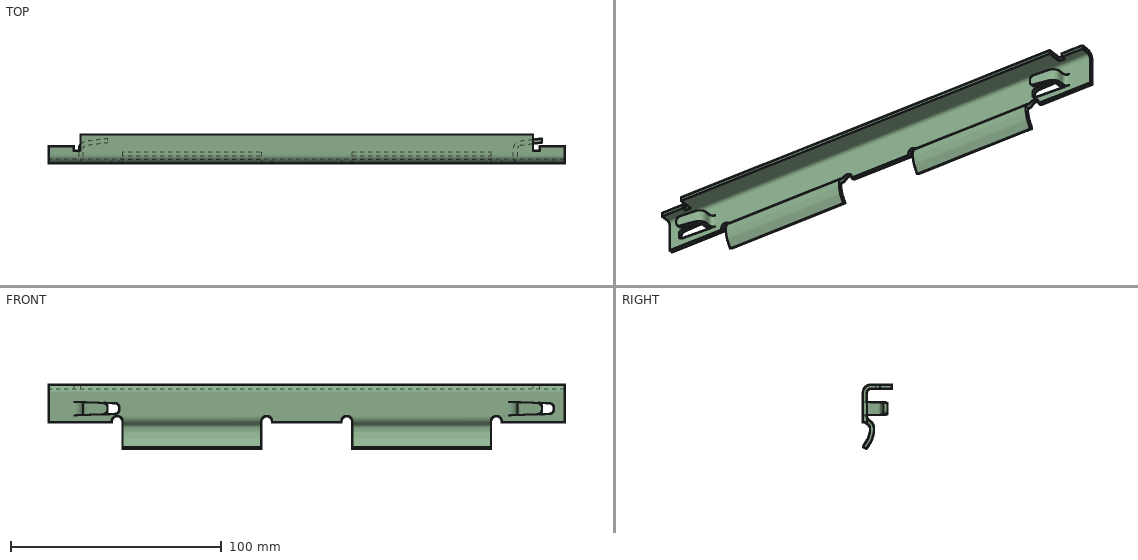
import cadquery as cq
import math

thickness = 2.0
inner_radius = 2.0
outer_radius = inner_radius + thickness
length = 245.0
depth = 13.79
height = 30.58
wall_height = 18.0

flange_inset = 15.0
ear_depth = 8.2
notch_width = 3.0
notch_floor = 6.0

clip_inset = 35.0
clip_width = 66.0
clip_bend_start = 15.0
clip_inner_radius = 2.4
clip_jog_angle = 60.0
clip_flat = 1.2
flare_inner_radius = 2.5
flare_angle = 16.0
flare_flat = 2.7
relief_radius = 2.5

slot_starts = (12.3, 218.5)
slot_length = 21.2
slot_root_width = 6.4
slot_end_width = 4.8
slot_corner_radius = 2.0
slot_center_z = -11.4
tab_reach = 15.7
tab_rise_angle = 90.0
tab_tip_angle = 7.0
tab_rise_length = 2.6


def straight(run):
    """Flat stretch of sheet; a move is (run, inner radius, turn angle)."""
    return (run, 0.0, 0.0)


def bend(radius, angle):
    """Bend with the given inner radius; a positive angle turns left."""
    return (0.0, radius, angle)


def trace(outline, middle, target):
    """Continue an outline to the target, as an arc if a middle point is given."""
    if middle:
        return outline.threePointArc(middle, target)
    return outline.lineTo(*target)


def sheet_outline(plane, start, heading, moves):
    """Closed outline of a sheet whose mid-line starts at a point and follows the moves.

    Each section holds the (left, right) edge points at its middle (bends only) and at its end.
    """
    x, y = start
    half = thickness / 2

    def edges(px, py, direction):
        """Points on the left and right faces beside a mid-line point."""
        a = math.radians(direction)
        offset = (-half * math.sin(a), half * math.cos(a))
        return (px + offset[0], py + offset[1]), (px - offset[0], py - offset[1])

    first_left, first_right = edges(x, y, heading)
    sections = []
    for run, radius, angle in moves:
        if angle == 0:
            x += run * math.cos(math.radians(heading))
            y += run * math.sin(math.radians(heading))
            sections.append((None, edges(x, y, heading)))
            continue
        side = math.copysign(radius + half, angle)
        center_x = x - side * math.sin(math.radians(heading))
        center_y = y + side * math.cos(math.radians(heading))
        stops = []
        for direction in (heading + angle / 2, heading + angle):
            x = center_x + side * math.sin(math.radians(direction))
            y = center_y - side * math.cos(math.radians(direction))
            stops.append(edges(x, y, direction))
        heading += angle
        sections.append(tuple(stops))

    outline = cq.Workplane(plane).moveTo(*first_left)
    for middle, end in sections:
        outline = trace(outline, middle and middle[0], end[0])
    outline = outline.lineTo(*sections[-1][1][1])
    returns = [first_right] + [end[1] for _, end in sections[:-1]]
    for (middle, _), target in zip(reversed(sections), reversed(returns)):
        outline = trace(outline, middle and middle[1], target)
    return outline.close()


def block(x0, x1, y0, y1, z0, z1):
    """Box given by its limits along each axis."""
    return cq.Workplane("XY").box(x1 - x0, y1 - y0, z1 - z0, centered=False).translate((x0, y0, z0))


def make_angle():
    """Full-length wall with the flange bent back from its top edge."""
    moves = [
        straight(depth - outer_radius),
        bend(inner_radius, 90),
        straight(wall_height - outer_radius),
    ]
    body = sheet_outline("YZ", (depth, -thickness / 2), 180, moves).extrude(length)
    notch = block(flange_inset - notch_width, flange_inset, notch_floor, depth, -thickness, 0)
    ear_gap = block(0, flange_inset, ear_depth, depth, -thickness, 0)
    left_trim = notch.union(ear_gap)
    right_trim = left_trim.mirror("YZ", (length / 2, 0, 0))
    return body.cut(left_trim).cut(right_trim)


def make_clip(left):
    """Spring clip: jogs behind the wall, then flares forward to a straight lip."""
    jog = math.radians(clip_jog_angle)
    flare = math.radians(flare_angle)
    lip = 2 * flare
    jog_drop = (2 * clip_inner_radius + thickness) * math.sin(jog)
    flare_drop = (flare_inner_radius + thickness) * math.sin(lip) + flare_flat * math.cos(flare)
    lip_drop = height - clip_bend_start - jog_drop - clip_flat - flare_drop
    moves = [
        bend(clip_inner_radius, clip_jog_angle),
        bend(clip_inner_radius, -clip_jog_angle),
        straight(clip_flat),
        bend(flare_inner_radius, -flare_angle),
        straight(flare_flat),
        bend(flare_inner_radius, -flare_angle),
        straight(lip_drop / math.cos(lip)),
    ]
    start = (thickness / 2, -clip_bend_start)
    outline = sheet_outline("YZ", start, -90, moves)
    return outline.extrude(clip_width + 2 * relief_radius).translate((left - relief_radius, 0, 0))


def clip_relief(center_x):
    """Round-topped relief at a clip side, open downward."""
    center_z = -clip_bend_start - relief_radius
    hole = cq.Workplane("XZ").center(center_x, center_z).circle(relief_radius).extrude(-depth)
    gap = block(center_x - relief_radius, center_x + relief_radius, -depth, depth, -2 * height, center_z)
    return hole.union(gap)


def slot_shape(start_x, reach, y_depth):
    """Block tapering along X from the slot root, with a rounded far end."""
    half_root = slot_root_width / 2
    half_end = half_root - (slot_root_width - slot_end_width) / 2 * reach / slot_length
    return (
        cq.Workplane("XZ")
        .center(start_x, slot_center_z)
        .polyline([(0, -half_root), (reach, -half_end), (reach, half_end), (0, half_root)])
        .close()
        .extrude(-y_depth)
        .edges("|Y and >X")
        .fillet(slot_corner_radius)
    )


def make_tab(start_x):
    """Tab bent back from the slot root, then turned along X as an arm behind the wall."""
    moves = [
        bend(inner_radius, tab_rise_angle),
        straight(tab_rise_length),
        bend(inner_radius, tab_tip_angle - tab_rise_angle),
        straight(tab_reach),
    ]
    strip = (
        sheet_outline("XY", (start_x, thickness / 2), 0, moves)
        .extrude(slot_root_width)
        .translate((0, 0, slot_center_z - slot_root_width / 2))
    )
    return strip.intersect(slot_shape(start_x, tab_reach, depth))


result = make_angle()
for clip_left in (clip_inset, length - clip_inset - clip_width):
    clip_right = clip_left + clip_width
    opening = block(
        clip_left - relief_radius, clip_right + relief_radius, 0, thickness, -wall_height, -clip_bend_start
    )
    result = result.cut(opening).union(make_clip(clip_left))
    for relief_x in (clip_left - relief_radius, clip_right + relief_radius):
        result = result.cut(clip_relief(relief_x))
for slot_start in slot_starts:
    result = result.cut(slot_shape(slot_start, slot_length, thickness))
    result = result.union(make_tab(slot_start))